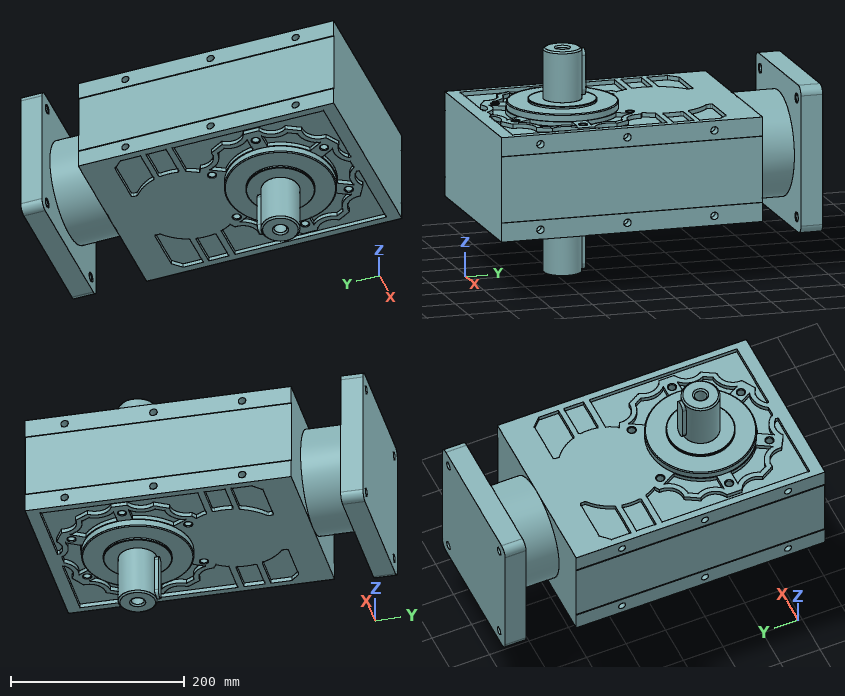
import cadquery as cq
import math


drill_point_angle = 118

body_width = 220.0
body_height = 124.5
body_front = -107.7
body_back = 207.0
half_width = body_width / 2
half_height = body_height / 2
relief_height = 79.0
relief_depth = 1.0

overall_length = 394.5
flange_back = body_front + overall_length
flange_thickness = 26.5
flange_front = flange_back - flange_thickness
flange_side = 175.5
flange_corner_radius = 10.3
flange_bolt_circle = 200.0
flange_hole_count = 4
flange_hole_diameter = 9.5
flange_hole_chamfer = 1.0
neck_diameter = body_height

shaft_length = 268.0
shaft_end = shaft_length / 2
shaft_diameter = 45.0
shaft_chamfer = 2.0
centre_hole_diameter = 14.5
centre_hole_depth = 31.5
centre_hole_chamfer = 2.0
disk_diameter = 129.5
disk_top = 71.0
disk_chamfer = 1.0
ring_diameter = 79.5
ring_top = 73.8
ring_chamfer = 0.8
key_width = 14.2
key_reach = 26.0
key_start = 75.7
key_end = 131.5

seat_apothem = 94.5
seat_sides = 12
seat_pitch = 360 / seat_sides
scallop_diameter = 38.3
scallop_circle = 211.0
seat_wall = 6.5
seat_bore_diameter = 131.5
spoke_width = 17.8
spoke_count = 6
spoke_pitch = 360 / spoke_count
seat_hole_circle = 159.5
seat_hole_diameter = 8.5
seat_hole_chamfer = 1.0
seat_hole_depth = 19.7

pocket_depth = 5.0
pocket_floor = half_height - pocket_depth
pocket_outer_x = 101.5
boss_radius = 60.0
boss_y = 114.8
upper_pocket_y = (133.7, 169.2)
upper_pocket_inner_x = 36.5
upper_pocket_chamfer = 10.5
middle_pocket_y = (102.0, 127.0)
main_pocket_y = (-92.0, 94.5)
main_pocket_gap = 26.5
pocket_fillet = 2.0

side_hole_diameter = 8.5
side_hole_depth = 12.0
side_hole_y = (-60.8, 44.0, 149.0)
side_hole_z = 51.0


def cylinder(diameter, bottom, top, x=0.0, y=0.0):
    """Upright cylinder between two heights."""
    base = cq.Workplane("XY", origin=(x, y, bottom))
    return base.circle(diameter / 2).extrude(top - bottom)


def block(x_range, y_range, z_range):
    """Box given by its limits along each axis."""
    size = [high - low for low, high in (x_range, y_range, z_range)]
    corner = (x_range[0], y_range[0], z_range[0])
    return cq.Workplane("XY").box(*size, centered=False).translate(corner)


def drill(diameter, depth, chamfer=0.0):
    """Drilled-hole shape entering the origin from +Z, with a conical bottom and chamfered mouth."""
    radius = diameter / 2
    point = radius / math.tan(math.radians(drill_point_angle / 2))
    profile = [(0, 0), (radius, 0), (radius, -depth), (0, -depth - point)]
    if chamfer > 0:
        profile[1:2] = [(radius + chamfer, 0), (radius, -chamfer)]
    return cq.Workplane("XZ").polyline(profile).close().revolve(360, (0, 0), (0, 1))


def both_faces(solid):
    """The solid together with its mirror image on the opposite large face."""
    return solid.union(solid.mirror("XY"))


def both_sides(solid):
    """The solid together with its mirror image on the opposite side wall."""
    return solid.union(solid.mirror("YZ"))


def make_housing():
    """Rectangular block with a shallow relief band along each side wall."""
    y_range = (body_front, body_back)
    housing = block((-half_width, half_width), y_range, (-half_height, half_height))
    relief = block(
        (half_width - relief_depth, half_width),
        y_range,
        (-relief_height / 2, relief_height / 2),
    )
    return housing.cut(both_sides(relief))


def make_input():
    """Round neck and square flange with rounded corners and four bolt holes."""
    neck = (
        cq.Workplane("XZ", origin=(0, body_back, 0))
        .circle(neck_diameter / 2)
        .extrude(-(flange_front - body_back))
    )
    flange_plane = cq.Workplane("XZ", origin=(0, flange_front, 0))
    flange = flange_plane.rect(flange_side, flange_side).extrude(-flange_thickness)
    flange = flange.edges("|Y").fillet(flange_corner_radius)
    holes = (
        flange_plane.polarArray(flange_bolt_circle / 2, 45, 360, flange_hole_count)
        .circle(flange_hole_diameter / 2)
        .extrude(-flange_thickness)
    )
    flange = flange.cut(holes)
    hole_rims = cq.selectors.RadiusNthSelector(0)
    flange = flange.faces("<Y").edges(hole_rims).chamfer(flange_hole_chamfer)
    return neck.union(flange)


def make_seat(inset):
    """Twelve-sided plate with scalloped corners, its outline moved inward by inset."""
    height = pocket_depth
    circumscribed = 2 * (seat_apothem - inset) / math.cos(math.pi / seat_sides)
    base = cq.Workplane("XY", origin=(0, 0, pocket_floor))
    plate = (
        base.transformed(rotate=(0, 0, seat_pitch / 2))
        .polygon(seat_sides, circumscribed)
        .extrude(height)
    )
    scallops = (
        base.polarArray(scallop_circle / 2, seat_pitch / 2, 360, seat_sides)
        .circle(scallop_diameter / 2 + inset)
        .extrude(height)
    )
    return plate.cut(scallops)


def make_seat_pockets():
    """Recesses between the spokes of the seat; the sector facing +Y stays solid."""
    top = half_height
    pockets = make_seat(seat_wall).cut(cylinder(seat_bore_diameter, pocket_floor, top))
    reach = 2 * seat_apothem
    spoke = block((0, reach), (-spoke_width / 2, spoke_width / 2), (pocket_floor, top))
    for index in range(spoke_count):
        pockets = pockets.cut(spoke.rotate((0, 0, 0), (0, 0, 1), index * spoke_pitch))
    spread = reach / math.tan(math.radians(spoke_pitch))
    solid_sector = (
        cq.Workplane("XY", origin=(0, 0, pocket_floor))
        .polyline([(0, 0), (spread, reach), (-spread, reach)])
        .close()
        .extrude(pocket_depth)
    )
    return pockets.cut(solid_sector)


def make_side_pockets():
    """Recesses on the +X half of the face, around the boss and the seat."""
    z_range = (pocket_floor, half_height)
    boss = cylinder(2 * boss_radius, pocket_floor, half_height, y=boss_y)

    upper = (
        block((upper_pocket_inner_x, pocket_outer_x), upper_pocket_y, z_range)
        .edges("|Z and >X and >Y")
        .chamfer(upper_pocket_chamfer)
        .cut(boss)
    )
    middle = block((0, pocket_outer_x), middle_pocket_y, z_range).cut(boss)
    inner_region = cq.selectors.BoxSelector(
        (0, body_front, 0), (boss_radius + pocket_fillet, body_back, half_height)
    )
    upper = upper.edges("|Z").edges(inner_region).fillet(pocket_fillet)
    middle = middle.edges("|Z").edges(inner_region).fillet(pocket_fillet)

    main = block((main_pocket_gap / 2, pocket_outer_x), main_pocket_y, z_range)
    main = main.cut(boss).cut(make_seat(0))
    return upper.union(middle).union(main)


def make_face_cuts():
    """All recesses and blind holes of both large faces."""
    cuts = both_sides(make_side_pockets()).union(make_seat_pockets())
    seat_hole = drill(seat_hole_diameter, seat_hole_depth, seat_hole_chamfer)
    seat_hole = seat_hole.translate((seat_hole_circle / 2, 0, half_height))
    for index in range(spoke_count):
        cuts = cuts.union(seat_hole.rotate((0, 0, 0), (0, 0, 1), index * spoke_pitch))
    return both_faces(cuts)


def make_side_holes():
    """Two rows of three blind holes in each side wall."""
    hole = drill(side_hole_diameter, side_hole_depth).rotate((0, 0, 0), (0, 1, 0), 90)
    holes = cq.Workplane("XY")
    for y in side_hole_y:
        for z in (-side_hole_z, side_hole_z):
            holes = holes.add(hole.translate((half_width, y, z)))
    holes = holes.combine()
    return both_sides(holes)


def make_output():
    """Cover disk, seal ring, keyed shaft and its centre hole above the top face."""
    disk = cylinder(disk_diameter, 0, disk_top).faces(">Z").chamfer(disk_chamfer)
    ring = cylinder(ring_diameter, 0, ring_top).faces(">Z").chamfer(ring_chamfer)
    shaft = cylinder(shaft_diameter, 0, shaft_end).faces(">Z").chamfer(shaft_chamfer)
    key = (
        cq.Workplane("XZ", origin=(0, 0, (key_start + key_end) / 2))
        .slot2D(key_end - key_start, key_width, 90)
        .extrude(-key_reach)
    )
    centre_hole = drill(centre_hole_diameter, centre_hole_depth, centre_hole_chamfer)
    centre_hole = centre_hole.translate((0, 0, shaft_end))
    return disk.union(ring).union(shaft).union(key).cut(centre_hole)


housing = make_housing().union(make_input())
housing = housing.cut(make_face_cuts()).cut(make_side_holes())
result = housing.union(both_faces(make_output()))